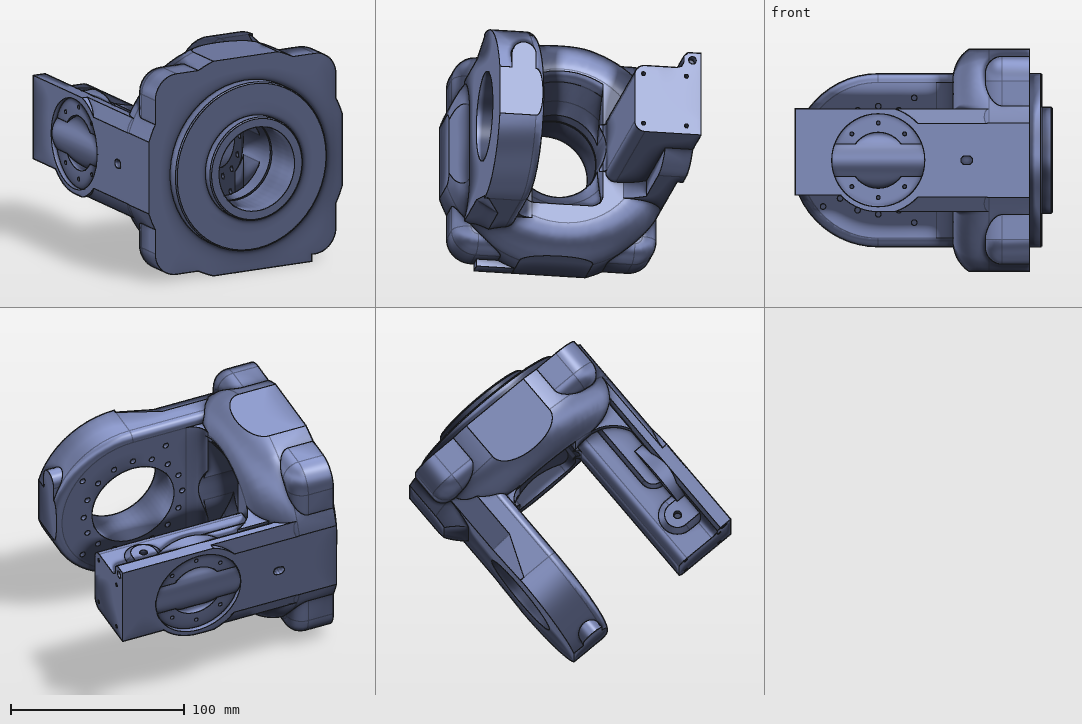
import cadquery as cq
import math

total_length = 148.0
side = 128.0
half_side = side / 2
body_overlap = 1.5

hub_front = 90.9
hub_back = 135.0
hub_radius = 67.5
hub_round = 20.7
mouth_radius = 45.6
throat_radius = 31.5
throat_start = 103.6
throat_end = 109.5
mouth_lip_length = 4.5
mouth_lip_drop = 5.2
mouth_lip_mid = (1.5, 3.0)
mouth_half_width = 23.7
mouth_bottom = -35.5
mouth_corner_round = 7.4
bore_radius = 25.0
lobe_half_side = 59.8
lobe_corner_radius = 14.0
lobe_front = 109.5
lobe_round = 9.6
foot_left = 43.8
foot_width = 22.2
foot_depth = 8.9

axis_x = 47.8

arm_reach = hub_front + hub_round
large_inner = 27.7
large_outer = 53.9
large_radius = 49.9
large_bore_radius = 25.9
large_edge_round = 5.0
root_round = 9.6
scallop_inner = 41.5
scallop_drop = 7.4
scallop_full = 72.5
scallop_fade = 0.2
shoulder_start = 94.4
shoulder_end = 104.0
ring_hole_count = 16
ring_hole_radius = 31.1
outer_hole_radius = 41.5
outer_hole_angles = [60, 140, 220, 300]
large_hole_diameter = 3.3
large_hole_depth = 8.9
tongue_center_y = 39.7
tongue_width = 14.0
tongue_top = 29.9
tongue_depth = 11.8

small_inner = -25.2
small_half_height = 20.1
small_edge_round = 5.9
small_root_round = 3.5
rail_half_height = 29.6
top_rail_depth = 10.0
top_rail_chamfer = 2.2
top_rail_root_round = 4.5
bottom_rail_depth = 16.1
rail_bevel_clearance = 31.1
rail_flat_half_height = 21.2
rail_edge_y = math.sqrt(hub_radius**2 - rail_half_height**2)
rail_end = 111.0
rib_start = 41.5
rib_inner = -39.2
rib_corner_round = 8.9
rib_chamfer = 2.2
gusset_start = 77.0
gusset_bend_x = 86.6
gusset_bend_y = -45.9
gusset_inner = -35.5
pad_x = 22.6
pad_y = -42.9
pad_radius = 7.4
pad_top = 22.6
pad_flare = 3.5
pad_hole_diameter = 4.5
pad_hole_depth = 7.4

recess_radius = 26.8
recess_depth = 3.0
window_radius = 16.1
bar_axis_y = -44.4
bar_chord_half = 9.3
recess_floor = -half_side + recess_depth
bar_radius = math.hypot(bar_axis_y - recess_floor, bar_chord_half)
recess_hole_radius = 21.5
recess_hole_angles = [45, 90, 135, 225, 270, 315]
screw_hole_diameter = 2.2
screw_hole_depth = 5.9
end_hole_ys = [-30.2, -55.4]
end_hole_z = 15.1
rail_hole_y = -58.9
rail_hole_z = 25.0
rail_hole_diameter = 4.5
side_slot_x = 98.7
side_slot_length = 6.8
side_slot_width = 5.0
side_slot_depth = 5.9

flange_back = 142.0
flange_radius = 50.0
collar_radius = 30.6
rim_chamfer = 0.7
spigot_radius = 30.6
socket_floor = 119.7
spigot_gap = 1.8


def block(x_range, y_range, z_range):
    """Box between two limits on each axis."""
    size = [high - low for low, high in (x_range, y_range, z_range)]
    corner = (x_range[0], y_range[0], z_range[0])
    return cq.Workplane("XY").box(*size, centered=False).translate(corner)


def rod_x(radius, start, end, y=0, z=0):
    """Cylinder along X."""
    return cq.Workplane("YZ", origin=(start, y, z)).circle(radius).extrude(end - start)


def rod_y(radius, start, end, x=axis_x, z=0):
    """Cylinder along Y."""
    return cq.Workplane("XZ", origin=(x, start, z)).circle(radius).extrude(start - end)


def polar(radius, angles):
    """Positions on a circle around the joint axis, as (x, z)."""
    turns = [math.radians(angle) for angle in angles]
    return [(axis_x + radius * math.cos(turn), radius * math.sin(turn)) for turn in turns]


def corner_fill(arm_y, toward, radius, half_height):
    """Concave rounding between an arm's inner face and the hub front."""
    center_x = hub_front - radius
    center_y = arm_y + toward * radius
    y_range = sorted((arm_y, center_y))
    fill = block((center_x, hub_front + body_overlap), y_range, (-half_height, half_height))
    cutter = cq.Workplane("XY", origin=(center_x, center_y, -half_height))
    return fill.cut(cutter.circle(radius).extrude(2 * half_height))


def make_hub():
    ring = rod_x(hub_radius, hub_front, hub_back).faces("<X").edges().fillet(hub_round)
    ring = ring.intersect(block((0, hub_back), (-half_side, half_side), (-half_side, half_side)))
    lobes = cq.Workplane("YZ", origin=(lobe_front, 0, 0)).rect(2 * lobe_half_side, 2 * lobe_half_side)
    lobes = lobes.extrude(hub_back - lobe_front).edges("|X").fillet(lobe_corner_radius)
    lobes = lobes.faces("<X").edges().fillet(lobe_round)
    foot = block(
        (hub_back - foot_depth, hub_back),
        (foot_left - foot_width, foot_left),
        (-half_side, -lobe_half_side + body_overlap),
    )
    return ring.cut(make_shoulder_bevel()).union(lobes).union(foot)


def make_shoulder_bevel():
    """Wedge that slopes the hub rim up from the outer face of the large arm."""
    return (
        cq.Workplane("XY", origin=(0, 0, -half_side))
        .polyline(
            [
                (hub_front, large_outer),
                (shoulder_start, large_outer),
                (shoulder_end, half_side),
                (hub_front, half_side),
            ]
        )
        .close()
        .extrude(side)
    )


def make_hub_opening():
    """Flared mouth between the arms, through bore, and socket for the flange."""
    lip_mid = (hub_front + mouth_lip_mid[0], mouth_radius - mouth_lip_mid[1])
    lip_end = (hub_front + mouth_lip_length, mouth_radius - mouth_lip_drop)
    mouth = (
        cq.Workplane("XY")
        .moveTo(hub_front, 0)
        .lineTo(hub_front, mouth_radius)
        .threePointArc(lip_mid, lip_end)
        .lineTo(throat_start, throat_radius)
        .lineTo(throat_end, bore_radius)
        .lineTo(throat_end, 0)
        .close()
        .revolve(360, (0, 0, 0), (1, 0, 0))
    )
    limits = block(
        (hub_front, hub_back),
        (-mouth_half_width, mouth_half_width),
        (mouth_bottom, mouth_radius),
    )
    limits = limits.edges("|X").fillet(mouth_corner_round)
    socket = rod_x(spigot_radius, socket_floor, hub_back)
    return mouth.intersect(limits).union(rod_x(bore_radius, 0, hub_back)).union(socket)


def make_large_arm():
    arm = rod_y(large_radius, large_inner, large_outer)
    arm = arm.union(
        block((axis_x, arm_reach), (large_inner, large_outer), (-large_radius, large_radius))
    )
    arm = arm.faces("<Y").edges("not >X").fillet(large_edge_round)
    scallop = make_scallop()
    arm = arm.cut(scallop).cut(scallop.mirror("XY"))
    tongue_radius = tongue_width / 2
    tongue_round_z = tongue_top - tongue_radius
    tongue = rod_x(tongue_radius, 0, tongue_depth, tongue_center_y, tongue_round_z)
    tongue = tongue.union(
        block(
            (0, tongue_depth),
            (tongue_center_y - tongue_radius, tongue_center_y + tongue_radius),
            (0, tongue_round_z),
        )
    )
    in_front = block((0, arm_reach), (0, side), (-side, side))
    return arm.intersect(in_front).union(tongue)


def make_scallop():
    """Bevel along the outer top edge, growing from the joint axis to full depth."""

    def section(sketch, scale):
        corner = (large_outer, large_radius)
        inward = (large_outer - scale * (large_outer - scallop_inner), large_radius)
        downward = (large_outer, large_radius - scale * scallop_drop)
        return sketch.polyline([corner, inward, downward]).close()

    fade = section(cq.Workplane("YZ", origin=(axis_x, 0, 0)), scallop_fade)
    fade = section(fade.workplane(offset=scallop_full - axis_x), 1).loft(ruled=True)
    full = section(cq.Workplane("YZ", origin=(scallop_full, 0, 0)), 1)
    return fade.union(full.extrude(arm_reach - scallop_full))


def make_large_arm_holes():
    step = 360 / ring_hole_count
    places = polar(ring_hole_radius, [step * index for index in range(ring_hole_count)])
    places += polar(outer_hole_radius, outer_hole_angles)
    cutter = rod_y(large_bore_radius, large_inner, half_side)
    for x, z in places:
        cutter = cutter.union(
            rod_y(large_hole_diameter / 2, large_inner, large_inner + large_hole_depth, x, z)
        )
    return cutter


def make_rails():
    top = block(
        (0, rail_end), (-half_side, -half_side + top_rail_depth), (0, rail_half_height)
    )
    top = top.edges(">Z and >Y").chamfer(top_rail_chamfer)
    bottom_y = (-half_side, -half_side + bottom_rail_depth)
    bottom = block((axis_x, rail_end), bottom_y, (-rail_half_height, 0))
    boss = rod_y(rail_half_height, *bottom_y)
    clearance = rod_y(rail_bevel_clearance, -half_side, 0)
    rails = top.union(bottom).union(boss)
    for direction in (-1, 1):
        bevel = (
            cq.Workplane("YZ", origin=(axis_x, 0, 0))
            .polyline(
                [
                    (-half_side, direction * rail_flat_half_height),
                    (-half_side, direction * rail_half_height),
                    (-rail_edge_y, direction * rail_half_height),
                ]
            )
            .close()
            .extrude(rail_end - axis_x)
        )
        rails = rails.cut(bevel.cut(clearance))
    return rails


def make_rail_root():
    """Concave rounding between the top rail and the top of the beam."""
    rail_y = -half_side + top_rail_depth
    round_y = rail_y + top_rail_root_round
    round_z = small_half_height + top_rail_root_round
    fill = block((0, rib_start), (rail_y, round_y), (small_half_height, round_z))
    return fill.cut(rod_x(top_rail_root_round, 0, rib_start, round_y, round_z))


def make_gusset():
    """Curved web that spreads the rails into the hub."""
    wall_y = -half_side + top_rail_depth
    return (
        cq.Workplane("XY", origin=(0, 0, -rail_half_height))
        .moveTo(gusset_start, wall_y)
        .threePointArc((gusset_bend_x, gusset_bend_y), (hub_front, gusset_inner))
        .lineTo(rail_end, gusset_inner)
        .lineTo(rail_end, wall_y)
        .close()
        .extrude(2 * rail_half_height)
    )


def make_pad():
    """Raised pad with sloping sides, round toward +Y and running into the top rail."""
    base_radius = pad_radius + pad_flare
    height = pad_top - small_half_height
    rail_y = -half_side + top_rail_depth / 2
    return (
        cq.Workplane("XY", origin=(pad_x, 0, small_half_height))
        .moveTo(-base_radius, rail_y)
        .lineTo(-base_radius, pad_y)
        .threePointArc((0, pad_y + base_radius), (base_radius, pad_y))
        .lineTo(base_radius, rail_y)
        .close()
        .extrude(height, taper=math.degrees(math.atan2(pad_flare, height)))
    )


def make_small_arm():
    beam = block(
        (0, rail_end), (-half_side, small_inner), (-small_half_height, small_half_height)
    )
    beam = beam.edges("|X and >Y").fillet(small_edge_round)
    rib = block(
        (rib_start, rail_end), (-half_side + top_rail_depth, rib_inner), (0, pad_top)
    )
    rib = rib.edges("|Z and <X and >Y").fillet(rib_corner_round)
    rib = rib.faces(">Z").edges("not (<Y or >X)").chamfer(rib_chamfer)
    arm = beam.union(rib).union(make_rails()).union(make_rail_root())
    return arm.union(make_gusset()).union(make_pad())


def make_joint_recess():
    """Round recess and window, with the cross bar left standing in them."""
    recess = rod_y(recess_radius, -half_side, recess_floor)
    window = rod_y(window_radius, recess_floor, bar_axis_y)
    bar = rod_x(bar_radius, 0, hub_front, bar_axis_y)
    cutter = recess.union(window).cut(bar)
    for x, z in polar(recess_hole_radius, recess_hole_angles):
        cutter = cutter.union(
            rod_y(screw_hole_diameter / 2, recess_floor, recess_floor + screw_hole_depth, x, z)
        )
    return cutter


def make_small_arm_holes():
    cutter = rod_x(rail_hole_diameter / 2, 0, screw_hole_depth, rail_hole_y, rail_hole_z)
    for y in end_hole_ys:
        for z in (-end_hole_z, end_hole_z):
            cutter = cutter.union(rod_x(screw_hole_diameter / 2, 0, screw_hole_depth, y, z))
    pad_hole = cq.Workplane("XY", origin=(pad_x, pad_y, pad_top))
    pad_hole = pad_hole.circle(pad_hole_diameter / 2).extrude(-pad_hole_depth)
    slot = cq.Workplane("XZ", origin=(side_slot_x, -half_side, 0))
    slot = slot.slot2D(side_slot_length, side_slot_width).extrude(-side_slot_depth)
    return cutter.union(pad_hole).union(slot)


def make_housing():
    body = make_hub().union(make_large_arm()).union(make_small_arm())
    body = body.union(corner_fill(large_inner, -1, root_round, large_radius - large_edge_round))
    body = body.union(
        corner_fill(small_inner, 1, small_root_round, small_half_height - small_edge_round)
    )
    body = body.cut(make_hub_opening())
    body = body.cut(make_large_arm_holes()).cut(make_joint_recess())
    return body.cut(make_small_arm_holes())


def make_flange():
    plate = rod_x(flange_radius, hub_back, flange_back).faces(">X").edges().chamfer(rim_chamfer)
    collar = rod_x(collar_radius, hub_back, total_length).faces(">X").edges().chamfer(rim_chamfer)
    spigot_start = socket_floor + spigot_gap
    spigot = rod_x(spigot_radius, spigot_start, hub_back)
    bore = rod_x(bore_radius, spigot_start, total_length)
    return plate.union(collar).union(spigot).cut(bore)


housing = make_housing()
flange = make_flange()
result = cq.Compound.makeCompound([housing.val(), flange.val()])